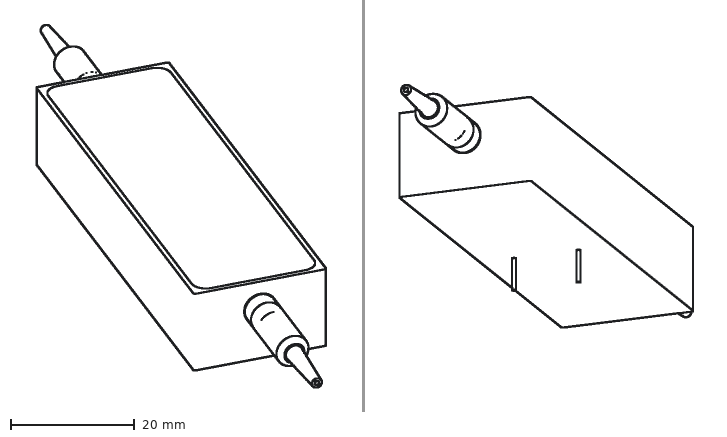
import cadquery as cq

housing_length = 71.8
housing_width = 23.0
housing_height = 14.3
corner_radius = 0.4

rim = 0.9
potting_radius = 2.5
potting_depth = 0.9

overall_length = 123.4
cable_heights = {-1: 8.9, 1: 9.3}
sleeve_length = 14.7
sleeve_diameter = 5.5
shoulder_length = 0.9
shoulder_end_diameter = 3.5
tip_root_diameter = 3.0
tip_end_diameter = 1.7

ferrule_first_diameter = 5.3
ferrule_step_down = 0.1
ferrule_step_ends = [2.8, 6.0, 12.7]
fibre_diameter = 0.7

pin_diameter = 0.6
pin_length = 5.4
pin_pitch = 11.2

half_length = housing_length / 2
boot_length = overall_length / 2 - half_length
shoulder_end = sleeve_length + shoulder_length


def block(length, width, height, radius):
    """Upright block centred on the Z axis, with rounded vertical edges."""
    return cq.Workplane("XY").rect(length, width).extrude(height).edges("|Z").fillet(radius)


def make_potting():
    potting = block(housing_length - 2 * rim, housing_width - 2 * rim, potting_depth, potting_radius)
    return potting.translate((0, 0, housing_height - potting_depth))


def make_housing(potting):
    return block(housing_length, housing_width, housing_height, corner_radius).cut(potting)


def turned(profile, side):
    """Solid of revolution about the cable axis, from (distance from housing, diameter) pairs."""
    upper_edge = [(distance, diameter / 2) for distance, diameter in profile]
    plane = cq.Plane(
        origin=(side * half_length, 0, cable_heights[side]), xDir=(side, 0, 0), normal=(0, -side, 0)
    )
    outline = cq.Workplane(plane).polyline([(0, 0), *upper_edge, (boot_length, 0)]).close()
    return outline.revolve(360, (0, 0, 0), (1, 0, 0))


def make_core(side):
    profile = []
    start = 0
    for step, end in enumerate(ferrule_step_ends):
        diameter = ferrule_first_diameter - step * ferrule_step_down
        profile += [(start, diameter), (end, diameter)]
        start = end
    profile += [(start, fibre_diameter), (boot_length, fibre_diameter)]
    return turned(profile, side)


def make_boot(side, core):
    profile = [
        (0, sleeve_diameter),
        (sleeve_length, sleeve_diameter),
        (shoulder_end, shoulder_end_diameter),
        (shoulder_end, tip_root_diameter),
        (boot_length, tip_end_diameter),
    ]
    return turned(profile, side).cut(core)


def make_pin(side):
    pin = cq.Workplane("XY").circle(pin_diameter / 2).extrude(-pin_length)
    return pin.translate((0, side * pin_pitch / 2, 0))


sides = (-1, 1)
potting = make_potting()
housing = make_housing(potting)
cores = [make_core(side) for side in sides]
boots = [make_boot(side, core) for side, core in zip(sides, cores)]
pins = [make_pin(side) for side in sides]

bodies = [housing, potting, *cores, *boots, *pins]
result = cq.Compound.makeCompound([body.val() for body in bodies])